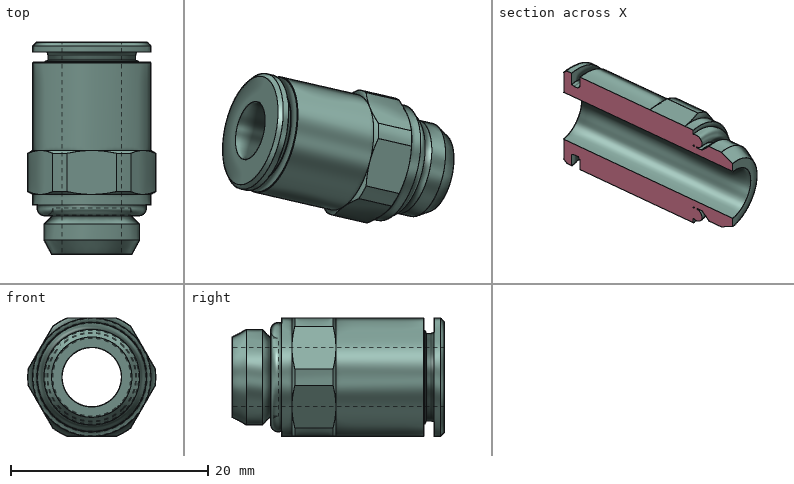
import cadquery as cq
import math

length = 21.5
y_tip = -length / 2
y_end = length / 2
bore_diameter = 6.0

tip_radius = 8.15 / 2
thread_radius = 9.7 / 2
groove_radius = 7.9 / 2
y_thread_start = y_tip + 1.45
y_thread_end = y_tip + 3.05
y_groove = y_thread_end + (thread_radius - groove_radius)

seal_outer_radius = 5.55
seal_wire_radius = (seal_outer_radius - groove_radius) / 2
seal_centre_radius = groove_radius + seal_wire_radius
y_seal_front = y_tip + 3.9

body_radius = 12.0 / 2
y_collar = y_tip + 5.0
y_hex_start = y_tip + 6.06
y_hex_end = y_tip + 10.51
hex_flats = 2 * body_radius
hex_corner_radius = 12.99 / 2
hex_bevel_angle = 30.0
y_sleeve_end = y_end - 2.05
sleeve_edge = 0.06

neck_radius = 8.9 / 2
neck_flare = 0.3
y_flare_start = y_end - 1.98
y_neck_start = y_end - 1.83
y_neck_end = y_end - 1.35
y_flange = y_end - 1.03
flange_flare = 0.09
flange_bevel = 0.39


def turned(outer_points):
    """Revolve (radius, y) points, closed along the axis, around Y."""
    axis_points = [(0, outer_points[-1][1]), (0, outer_points[0][1])]
    profile = cq.Workplane("XY").polyline(outer_points + axis_points).close()
    return profile.revolve(360, (0, 0, 0), (0, 1, 0))


def make_body():
    return turned([
        (tip_radius, y_tip),
        (thread_radius, y_thread_start),
        (thread_radius, y_thread_end),
        (groove_radius, y_groove),
        (groove_radius, y_collar),
        (body_radius, y_collar),
        (body_radius, y_sleeve_end - sleeve_edge),
        (body_radius - sleeve_edge, y_sleeve_end),
        (neck_radius + neck_flare, y_sleeve_end),
        (neck_radius + neck_flare, y_flare_start),
        (neck_radius, y_neck_start),
        (neck_radius, y_neck_end),
        (neck_radius + flange_flare, y_flange),
        (body_radius, y_flange),
        (body_radius, y_end - flange_bevel),
        (body_radius - flange_bevel, y_end),
    ])


def make_seal():
    y_centre = y_seal_front + seal_wire_radius
    wire = cq.Workplane("XY").center(-seal_centre_radius, y_centre).circle(seal_wire_radius)
    return wire.revolve(360, (seal_centre_radius, 0, 0), (seal_centre_radius, 1, 0))


def make_hexagon():
    """Hexagon with flats facing +Z and -Z, its corners rounded and bevelled."""
    bevel_height = (hex_corner_radius - body_radius) * math.tan(math.radians(hex_bevel_angle))
    prism = (
        cq.Workplane("XZ", origin=(0, y_hex_end, 0))
        .transformed(rotate=(0, 0, 30))
        .polygon(6, hex_flats, circumscribed=True)
        .extrude(y_hex_end - y_hex_start)
    )
    envelope = turned([
        (body_radius, y_hex_start),
        (hex_corner_radius, y_hex_start + bevel_height),
        (hex_corner_radius, y_hex_end - bevel_height),
        (body_radius, y_hex_end),
    ])
    return prism.intersect(envelope)


bore = cq.Workplane("XZ", origin=(0, y_end, 0)).circle(bore_diameter / 2).extrude(length)
body = make_body().union(make_hexagon()).cut(bore)
result = body.union(make_seal())